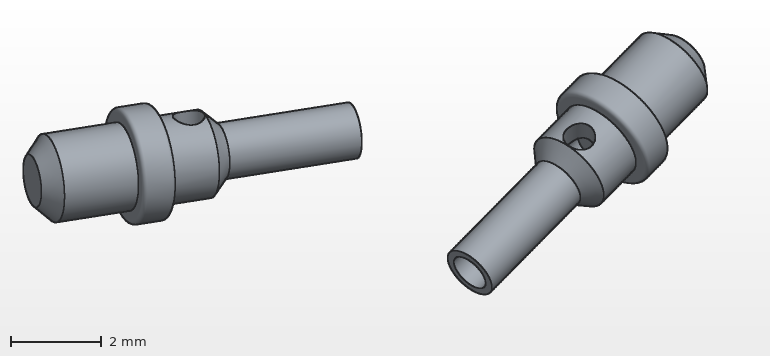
import cadquery as cq

total_length = 7.52
tip_length = 0.4
flange_start = 2.135
flange_width = 0.775
body_end = 4.04
shoulder_length = 0.375

body_radius = 0.99
tip_radius = 0.595
barrel_radius = 0.63
flange_radius = 1.315
flange_rounding = 0.1

hole_radius = 0.35
hole_position = 3.68

bore_radius = 0.45
bore_end_margin = 0.15
bore_end = hole_position - hole_radius - bore_end_margin


def turned_body():
    """Revolve the tip, body, rear shoulder and barrel about the Y axis."""
    return (
        cq.Workplane("XY")
        .lineTo(tip_radius, 0)
        .lineTo(body_radius, tip_length)
        .lineTo(body_radius, body_end)
        .lineTo(barrel_radius, body_end + shoulder_length)
        .lineTo(barrel_radius, total_length)
        .lineTo(0, total_length)
        .close()
        .revolve(360, (0, 0, 0), (0, 1, 0))
    )


def flange():
    """Collar around the body with both rims rounded."""
    return (
        cq.Workplane("XZ", origin=(0, flange_start, 0))
        .circle(flange_radius)
        .extrude(-flange_width)
        .edges("%CIRCLE")
        .fillet(flange_rounding)
    )


def inspection_hole():
    """Cylinder from the axis out through the top of the body."""
    return (
        cq.Workplane("XY", origin=(0, hole_position, 0))
        .circle(hole_radius)
        .extrude(flange_radius)
    )


def conductor_bore():
    """Axial bore from its blind end to the rear face of the barrel."""
    return (
        cq.Workplane("XZ", origin=(0, bore_end, 0))
        .circle(bore_radius)
        .extrude(bore_end - total_length)
    )


result = turned_body().union(flange()).cut(conductor_bore()).cut(inspection_hole())